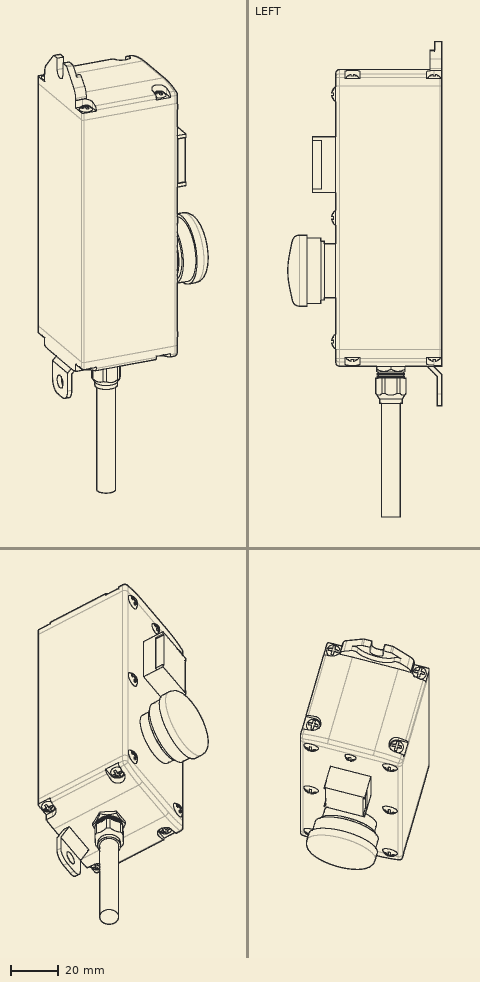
import cadquery as cq
import math

WIDTH = 45.0
DEPTH = 45.0
BODY_BOTTOM = 71.0
BODY_TOP = 183.0
BODY_MIDDLE = (BODY_BOTTOM + BODY_TOP) / 2
REAR_CORNER = 0.8
FRONT_CORNER = 1.6

CAP_RISE = 7.0
CAP_FLAT_HALF = 10.0
CAP_SIDE_DROP = 2.2
CAP_EDGE = 1.6
EDGE_MARGIN = 0.2
CAP_TOP = BODY_TOP + CAP_RISE
CAP_BOTTOM = BODY_BOTTOM - CAP_RISE

POCKET_FLOOR = 3.2
POCKET_RADIUS = 3.2
FRONT_SCREW_X = 18.4
FRONT_SCREW_Y = 38.0
REAR_SCREW_X = 19.0
REAR_SCREW_Y = 3.2
CAP_SCREW_RADIUS = 2.8
SCREW_DOME = 1.8
SLOT_WIDTH = 1.0
SLOT_DEPTH = 0.8

FACE_SCREW_X = 17.4
FACE_SCREW_PITCH = 52.5
FACE_SCREW_RADIUS = 3.2
INDICATOR_RADIUS = 2.5

EAR_TOP = 202.0
EAR_HALF = 15.5
EAR_TOP_HALF = 6.5
EAR_THICKNESS = 5.0
EAR_SIDE_ROUND = 5.7
EAR_TOP_ROUND = 1.0
EAR_SLOT_RADIUS = 2.8
EAR_SLOT_Z = 196.7
EAR_RELIEF_RADIUS = 9.3
EAR_RELIEF_DEPTH = 2.0
EAR_HORN_ROUND = 1.6

STRAP_WIDTH = 15.1
STRAP_THICKNESS = 2.0
STRAP_BOTTOM = 47.2
STRAP_BEND_Z = 60.5
STRAP_CRANK_ANGLE = 45
STRAP_ROUND = 5.0
STRAP_HOLE_RADIUS = 2.8
STRAP_HOLE_Z = 53.7

KEY_WIDTH = 17.8
KEY_BOTTOM = 137.7
KEY_TOP = 161.5
KEY_FRONT = 55.0
KEY_RECESS_MARGIN = 1.6
KEY_RECESS_LENGTH = 3.8
KEY_RECESS_DEPTH = 0.6

MUSHROOM_Z = 104.5
NECK_RADIUS = 11.5
COLLAR_RADIUS = 12.5
SKIRT_RADIUS = 14.0
HEAD_RADIUS = 15.1
COLLAR_REAR = 49.9
SKIRT_REAR = 51.3
HEAD_REAR = 57.1
DOME_REAR = 60.4
MUSHROOM_FRONT = 65.5

CABLE_Y = 21.6
CABLE_RADIUS = 4.0
COLLAR_FLATS = 12.1
COLLAR_BOTTOM = 61.5
COLLAR_BEVEL = 1.2
THREAD_RADIUS = 5.9
THREAD_DEPTH = 0.5
THREAD_PITCH = 1.0
NUT_CORNERS = 13.7
NUT_ROUND_RADIUS = 6.5
NUT_TOP = 59.0
NUT_TAPER_TOP = 52.5
LIP_RADIUS = 4.8
LIP_TOP = 50.0
LIP_BOTTOM = 48.3


def rounded_column(bottom, height):
    """Enclosure cross-section raised from bottom, with its upright corners rounded."""
    column = cq.Workplane("XY", origin=(0, DEPTH / 2, bottom)).rect(WIDTH, DEPTH).extrude(height)
    column = column.edges("|Z and <Y").fillet(REAR_CORNER)
    return column.edges("|Z and >Y").fillet(FRONT_CORNER)


def crowned_block():
    """Upper cap blank: flat middle, arcs tangent to it, rounded side and front edges."""
    fall_length = WIDTH / 2 - CAP_FLAT_HALF
    arc_radius = (fall_length**2 + CAP_SIDE_DROP**2) / (2 * CAP_SIDE_DROP)
    half_angle = math.asin(fall_length / arc_radius) / 2
    mid_x = CAP_FLAT_HALF + arc_radius * math.sin(half_angle)
    mid_z = CAP_TOP - arc_radius * (1 - math.cos(half_angle))
    shoulder = CAP_TOP - CAP_SIDE_DROP
    crown = (
        cq.Workplane("XZ")
        .moveTo(-WIDTH / 2, BODY_TOP)
        .lineTo(WIDTH / 2, BODY_TOP)
        .lineTo(WIDTH / 2, shoulder)
        .threePointArc((mid_x, mid_z), (CAP_FLAT_HALF, CAP_TOP))
        .lineTo(-CAP_FLAT_HALF, CAP_TOP)
        .threePointArc((-mid_x, mid_z), (-WIDTH / 2, shoulder))
        .close()
        .extrude(-DEPTH)
    )
    side_edges = cq.selectors.BoxSelector(
        (-WIDTH, -DEPTH, shoulder - EDGE_MARGIN), (WIDTH, 2 * DEPTH, shoulder + EDGE_MARGIN)
    )
    crown = crown.edges("|Y").edges(side_edges).fillet(CAP_EDGE)
    front_edges = cq.selectors.BoxSelector(
        (-WIDTH, DEPTH - EDGE_MARGIN, BODY_TOP + EDGE_MARGIN),
        (WIDTH, DEPTH + EDGE_MARGIN, CAP_TOP + EDGE_MARGIN),
    )
    crown = crown.edges(front_edges).edges("not |Z").fillet(FRONT_CORNER)
    return crown.intersect(rounded_column(BODY_TOP, CAP_RISE))


def slotted_dome(radius):
    """Screw head standing on Z = 0: a spherical dome with a cross slot."""
    sphere_radius = (radius**2 + SCREW_DOME**2) / (2 * SCREW_DOME)
    dome = (
        cq.Workplane("XY")
        .sphere(sphere_radius)
        .translate((0, 0, SCREW_DOME - sphere_radius))
        .intersect(cq.Workplane("XY").circle(radius).extrude(SCREW_DOME))
    )
    for length, width in ((2 * radius, SLOT_WIDTH), (SLOT_WIDTH, 2 * radius)):
        slot = cq.Workplane("XY", origin=(0, 0, SCREW_DOME - SLOT_DEPTH))
        dome = dome.cut(slot.rect(length, width).extrude(SLOT_DEPTH))
    return dome


def open_pocket(side, x, y):
    """Screw pocket that is round inward and open through the nearer side face."""
    pocket = cq.Workplane("XY", origin=(0, 0, BODY_TOP + POCKET_FLOOR))
    reach = WIDTH / 2 - x
    height = CAP_RISE
    hole = pocket.center(side * x, y).circle(POCKET_RADIUS).extrude(height)
    mouth = pocket.center(side * (x + reach / 2), y).rect(reach, 2 * POCKET_RADIUS).extrude(height)
    pocket_shape = hole.union(mouth)
    if y < POCKET_RADIUS + REAR_CORNER:
        inner_x = x - POCKET_RADIUS
        rear_mouth = pocket.center(side * (inner_x + WIDTH / 2) / 2, y / 2)
        pocket_shape = pocket_shape.union(rear_mouth.rect(WIDTH / 2 - inner_x, y).extrude(height))
    return pocket_shape


def end_cap():
    """Upper cap with its four screws."""
    cap = crowned_block()
    screw = slotted_dome(CAP_SCREW_RADIUS)
    for side in (-1, 1):
        for x, y in ((FRONT_SCREW_X, FRONT_SCREW_Y), (REAR_SCREW_X, REAR_SCREW_Y)):
            cap = cap.cut(open_pocket(side, x, y))
            cap = cap.union(screw.translate((side * x, y, BODY_TOP + POCKET_FLOOR)))
    return cap


def mounting_ear():
    """Upper ear: bevelled plate with an open slot and a round relief on its front side."""
    bevel_bottom = EAR_TOP - (EAR_HALF - EAR_TOP_HALF)
    ear = (
        cq.Workplane("XZ")
        .polyline([
            (-EAR_HALF, BODY_TOP),
            (EAR_HALF, BODY_TOP),
            (EAR_HALF, bevel_bottom),
            (EAR_TOP_HALF, EAR_TOP),
            (-EAR_TOP_HALF, EAR_TOP),
            (-EAR_HALF, bevel_bottom),
        ])
        .close()
        .extrude(-EAR_THICKNESS)
    )
    ear = ear.edges("|Y").edges(">Z").fillet(EAR_TOP_ROUND)
    for side in ("<X", ">X"):
        ear = ear.faces(side).edges("|Y and >Z").fillet(EAR_SIDE_ROUND)
    slot_plane = cq.Workplane("XZ", origin=(0, 0, EAR_SLOT_Z))
    slot_length = EAR_TOP - EAR_SLOT_Z
    ear = ear.cut(slot_plane.circle(EAR_SLOT_RADIUS).extrude(-EAR_THICKNESS))
    ear = ear.cut(
        slot_plane.center(0, slot_length / 2)
        .rect(2 * EAR_SLOT_RADIUS, slot_length)
        .extrude(-EAR_THICKNESS)
    )
    relief = cq.Workplane("XZ", origin=(0, EAR_THICKNESS, EAR_TOP))
    ear = ear.cut(relief.circle(EAR_RELIEF_RADIUS).extrude(EAR_RELIEF_DEPTH))
    half_chord = math.sqrt(EAR_RELIEF_RADIUS**2 - EAR_TOP_HALF**2 / 2) / math.sqrt(2)
    horn_x = EAR_TOP_HALF / 2 + half_chord
    horn_z = EAR_TOP + EAR_TOP_HALF - horn_x
    for side in (-1, 1):
        horn = (side * horn_x, EAR_THICKNESS - EAR_RELIEF_DEPTH / 2, horn_z)
        ear = ear.edges(cq.selectors.NearestToPointSelector(horn)).fillet(EAR_HORN_ROUND)
    return ear


def mounting_strap():
    """Lower strap: upright tongue at the rear face, joined to the cap by a 45 degree crank."""
    crank = BODY_BOTTOM - STRAP_BEND_Z
    bend_shift = STRAP_THICKNESS * math.tan(math.radians(STRAP_CRANK_ANGLE / 2))
    inner_bend_z = STRAP_BEND_Z - bend_shift
    strap = (
        cq.Workplane("YZ")
        .polyline([
            (0, STRAP_BOTTOM),
            (STRAP_THICKNESS, STRAP_BOTTOM),
            (STRAP_THICKNESS, inner_bend_z),
            (STRAP_THICKNESS + BODY_BOTTOM - inner_bend_z, BODY_BOTTOM),
            (crank, BODY_BOTTOM),
            (0, STRAP_BEND_Z),
        ])
        .close()
        .extrude(STRAP_WIDTH / 2, both=True)
    )
    strap = strap.edges("|Y and <Z").fillet(STRAP_ROUND)
    hole = cq.Workplane("XZ", origin=(0, 0, STRAP_HOLE_Z))
    return strap.cut(hole.circle(STRAP_HOLE_RADIUS).extrude(-STRAP_THICKNESS))


def push_key():
    """Rectangular push button with a shallow recess on each side."""
    height = KEY_TOP - KEY_BOTTOM
    length = KEY_FRONT - DEPTH
    key = cq.Workplane("XY").box(KEY_WIDTH, length, height)
    for side in (-1, 1):
        recess = cq.Workplane("XY").box(
            KEY_RECESS_DEPTH, KEY_RECESS_LENGTH, height - 2 * KEY_RECESS_MARGIN
        )
        recess_x = side * (KEY_WIDTH - KEY_RECESS_DEPTH) / 2
        key = key.cut(recess.translate((recess_x, (length - KEY_RECESS_LENGTH) / 2, 0)))
    return key.translate((0, DEPTH + length / 2, (KEY_BOTTOM + KEY_TOP) / 2))


def mushroom_button():
    """Stepped round button with an elliptical dome, turned about an axis along Y."""
    dome_height = MUSHROOM_FRONT - DOME_REAR
    mid = math.sqrt(0.5)
    profile = (
        cq.Workplane("XY")
        .moveTo(0, DEPTH)
        .lineTo(NECK_RADIUS, DEPTH)
        .lineTo(NECK_RADIUS, COLLAR_REAR)
        .lineTo(COLLAR_RADIUS, COLLAR_REAR)
        .lineTo(COLLAR_RADIUS, SKIRT_REAR)
        .lineTo(SKIRT_RADIUS, SKIRT_REAR)
        .lineTo(SKIRT_RADIUS, HEAD_REAR)
        .lineTo(HEAD_RADIUS, HEAD_REAR)
        .lineTo(HEAD_RADIUS, DOME_REAR)
        .spline(
            [(HEAD_RADIUS * mid, DOME_REAR + dome_height * mid), (0, MUSHROOM_FRONT)],
            tangents=[(0, 1), (-1, 0)],
            includeCurrent=True,
        )
        .close()
    )
    return profile.revolve(360, (0, 0), (0, 1)).translate((0, 0, MUSHROOM_Z))


def on_front(shape, x, z):
    """Turn a shape standing on Z = 0 so that it stands on the front face."""
    return shape.rotate((0, 0, 0), (1, 0, 0), -90).translate((x, DEPTH, z))


def build_housing():
    """Enclosure with caps, mounting tabs, buttons and screws."""
    cap = end_cap()
    upper_cap = cap.union(mounting_ear())
    lower_cap = cap.mirror("XY", (0, 0, BODY_MIDDLE)).union(mounting_strap())
    housing = rounded_column(BODY_BOTTOM, BODY_TOP - BODY_BOTTOM)
    for feature in (upper_cap, lower_cap, push_key(), mushroom_button()):
        housing = housing.union(feature, clean=False)
    face_screw = slotted_dome(FACE_SCREW_RADIUS)
    for side in (-1, 1):
        for row in (-1, 0, 1):
            z = BODY_MIDDLE + row * FACE_SCREW_PITCH
            housing = housing.union(on_front(face_screw, side * FACE_SCREW_X, z), clean=False)
    indicator = slotted_dome(INDICATOR_RADIUS)
    return housing.union(on_front(indicator, 0, BODY_MIDDLE + FACE_SCREW_PITCH), clean=False)


def gland_round(bottom, top, bottom_radius, top_radius):
    """Round stage on the cable axis, straight or tapered."""
    stage = cq.Workplane("XZ", origin=(0, CABLE_Y, 0)).polyline([
        (0, bottom),
        (bottom_radius, bottom),
        (top_radius, top),
        (0, top),
    ])
    return stage.close().revolve(360, (0, 0), (0, 1))


def gland_hexagon(bottom, top, corner_width, turn):
    """Hexagonal stage on the cable axis, turned by an angle in degrees."""
    base = cq.Workplane("XY", origin=(0, CABLE_Y, bottom)).transformed(rotate=(0, 0, turn))
    return base.polygon(6, corner_width).extrude(top - bottom)


def gland_collar():
    """Hexagon under the lower cap, its lower corners bevelled by a cone."""
    corner_width = COLLAR_FLATS / math.cos(math.pi / 6)
    corner_radius = corner_width / 2
    bevel_top = COLLAR_BOTTOM + COLLAR_BEVEL
    collar = gland_hexagon(COLLAR_BOTTOM, CAP_BOTTOM, corner_width, 0)
    envelope = gland_round(bevel_top, CAP_BOTTOM, corner_radius, corner_radius)
    envelope = envelope.union(
        gland_round(COLLAR_BOTTOM, bevel_top, corner_radius - COLLAR_BEVEL, corner_radius)
    )
    return collar.intersect(envelope)


def gland_thread():
    """Ridged neck between the collar and the nut."""
    root_radius = THREAD_RADIUS - THREAD_DEPTH
    thread = gland_round(NUT_TOP, COLLAR_BOTTOM, root_radius, root_radius)
    ridge_count = int((COLLAR_BOTTOM - NUT_TOP) / THREAD_PITCH)
    for index in range(ridge_count):
        ridge_bottom = NUT_TOP + (index + 0.5) * THREAD_PITCH
        ridge_top = ridge_bottom + THREAD_PITCH / 2
        thread = thread.union(gland_round(ridge_bottom, ridge_top, THREAD_RADIUS, THREAD_RADIUS))
    return thread


def gland_nut():
    """Hexagon nut with rounded corners, tapering to the lip at its lower end."""
    nut = gland_hexagon(LIP_TOP, NUT_TOP, NUT_CORNERS, 90)
    envelope = gland_round(NUT_TAPER_TOP, NUT_TOP, NUT_ROUND_RADIUS, NUT_ROUND_RADIUS)
    envelope = envelope.union(gland_round(LIP_TOP, NUT_TAPER_TOP, LIP_RADIUS, NUT_ROUND_RADIUS))
    return nut.intersect(envelope)


def build_cable():
    """Cable with its gland, from the lower cap down to the free end."""
    cable = gland_round(0, CAP_BOTTOM, CABLE_RADIUS, CABLE_RADIUS)
    lip = gland_round(LIP_BOTTOM, LIP_TOP, LIP_RADIUS, LIP_RADIUS)
    for stage in (gland_collar(), gland_thread(), gland_nut(), lip):
        cable = cable.union(stage)
    return cable


housing = build_housing()
cable = build_cable()
result = cq.Compound.makeCompound([housing.val(), cable.val()])